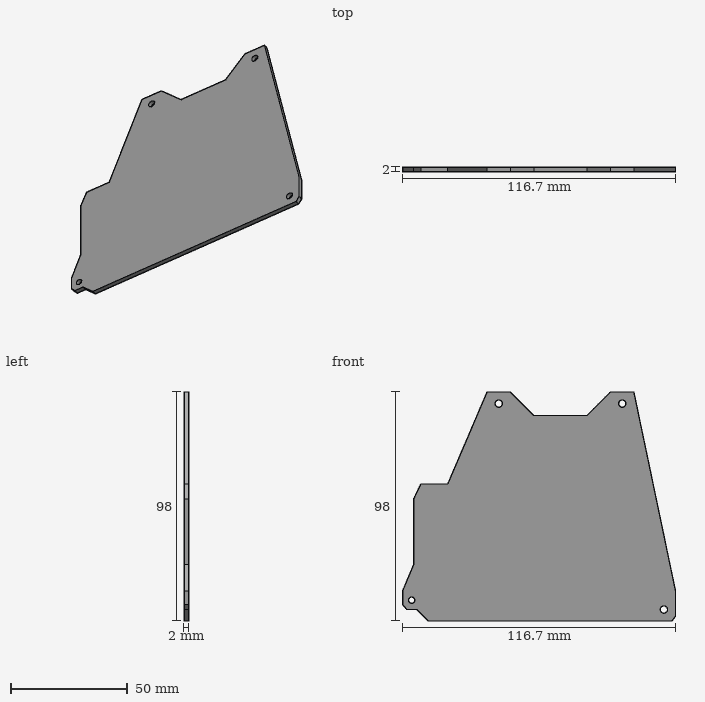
import cadquery as cq

width = 116.7
height = 98.0
thickness = 2.0

tab_width = 10.0
left_tab_x = 36.1
right_tab_x = 88.9
notch_depth = 10.0

shoulder_z = 58.7
shoulder_inner_x = 19.3
shoulder_outer_x = 7.8
left_edge_x = 4.7
left_edge_top_z = 52.2
left_edge_bottom_z = 24.2

side_top_z = 13.0
ear_bottom_z = 5.0
ear_chamfer_x = 1.8
ear_chamfer_z = 2.1
ear_inner_x = 6.0
corner_chamfer_x = 1.6
corner_chamfer_z = 2.1

hole_diameter = 3.0
hole_inset = 5.0
ear_hole_diameter = 2.6
ear_hole_x = 3.9
ear_hole_z = 9.0


def back_face_workplane():
    """XZ plane on the back face; extrusions run toward -Y, through the plate."""
    return cq.Workplane(cq.Plane(origin=(0, thickness, 0), xDir=(1, 0, 0), normal=(0, -1, 0)))


def make_plate():
    left_tab_end_x = left_tab_x + tab_width
    notch_z = height - notch_depth
    outline = [
        (ear_inner_x + ear_bottom_z, 0),
        (width - corner_chamfer_x, 0),
        (width, corner_chamfer_z),
        (width, side_top_z),
        (right_tab_x + tab_width, height),
        (right_tab_x, height),
        (right_tab_x - notch_depth, notch_z),
        (left_tab_end_x + notch_depth, notch_z),
        (left_tab_end_x, height),
        (left_tab_x, height),
        (shoulder_inner_x, shoulder_z),
        (shoulder_outer_x, shoulder_z),
        (left_edge_x, left_edge_top_z),
        (left_edge_x, left_edge_bottom_z),
        (0, side_top_z),
        (0, ear_bottom_z + ear_chamfer_z),
        (ear_chamfer_x, ear_bottom_z),
        (ear_inner_x, ear_bottom_z),
    ]
    return back_face_workplane().polyline(outline).close().extrude(thickness)


def make_hole_pins(centers, diameter):
    return back_face_workplane().pushPoints(centers).circle(diameter / 2).extrude(thickness)


main_hole_centers = [
    (left_tab_x + hole_inset, height - hole_inset),
    (right_tab_x + hole_inset, height - hole_inset),
    (width - hole_inset, hole_inset),
]

result = (
    make_plate()
    .cut(make_hole_pins(main_hole_centers, hole_diameter))
    .cut(make_hole_pins([(ear_hole_x, ear_hole_z)], ear_hole_diameter))
)